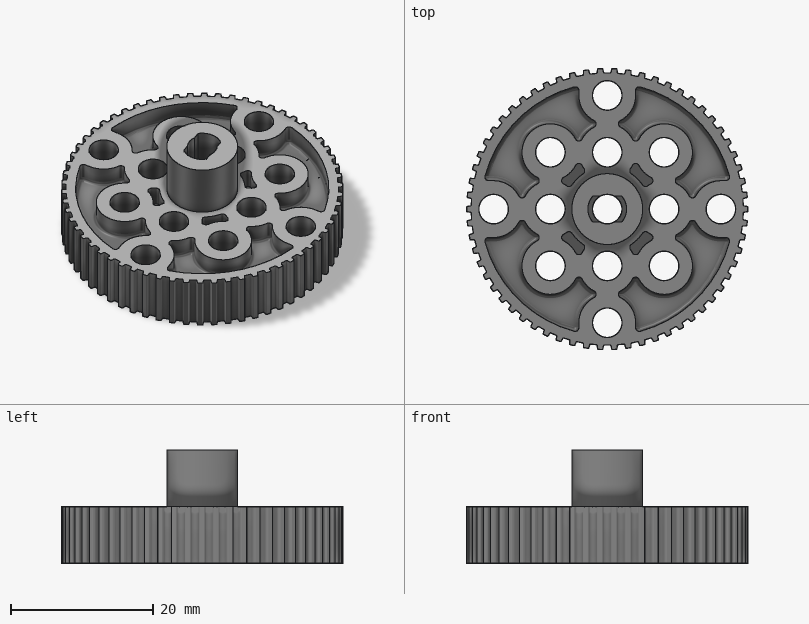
import cadquery as cq
import math

tip_radius = 19.8
tooth_count = 62
tooth_depth = 0.65
gap_width_at_tip = 1.25
gap_width_at_root = 1.0
tooth_round = 0.1
disc_height = 8.0

hub_radius = 5.0
hub_height = 8.0
keyed_bore_diameter = 5.45
keyed_bore_flats = 3.65

hole_spacing = 8.0
hole_diameter = 4.1
boss_radius = hole_spacing / 2
holes_across_radius = 2

rim_inner_radius = 17.8
pocket_depth = 3.0
floor_fillet = 0.6

slot_inner_radius = 6.0

corner_radius = 0.5

side_boss = (0, hole_spacing)
outer_boss = (0, holes_across_radius * hole_spacing)
corner_boss = (hole_spacing, hole_spacing)

cusp_reach = math.sqrt((boss_radius + corner_radius) ** 2 - boss_radius**2)


def polar(radius, angle):
    """Point at a radius and an angle in radians around the origin."""
    return (radius * math.cos(angle), radius * math.sin(angle))


def towards(centre, target, distance):
    """Point at a distance from a centre, in the direction of a target."""
    ratio = distance / math.dist(centre, target)
    return (centre[0] + ratio * (target[0] - centre[0]), centre[1] + ratio * (target[1] - centre[1]))


def swapped(point):
    """Mirror image of a point across the diagonal X = Y."""
    return (point[1], point[0])


def midpoint(start, end):
    """Point halfway between two points."""
    return ((start[0] + end[0]) / 2, (start[1] + end[1]) / 2)


def add_piece(outline, centre, start, end):
    """Extend an outline by the shorter arc around a centre, or by a line if there is no centre."""
    if centre is None:
        return outline.lineTo(*end)
    middle = towards(centre, midpoint(start, end), math.dist(centre, start))
    return outline.threePointArc(middle, end)


def diagonal_cutter(half):
    """Cutter symmetric about X = Y, reaching down from the top of the disc.

    The half outline is a list of (centre, start, end) pieces that ends on the corner boss.
    An arc around the disc axis joins the far ends of the two halves.
    """
    first = half[0][1]
    boss_start = half[-1][2]
    outline = cq.Workplane("XY", origin=(0, 0, disc_height)).moveTo(*first)
    for centre, start, end in half:
        outline = add_piece(outline, centre, start, end)

    facing = midpoint(first, swapped(first))
    outline = outline.threePointArc(towards(corner_boss, facing, boss_radius), swapped(boss_start))

    for centre, start, end in reversed(half):
        mirrored_centre = None if centre is None else swapped(centre)
        outline = add_piece(outline, mirrored_centre, swapped(end), swapped(start))
    outline = add_piece(outline, (0, 0), swapped(first), first)
    return outline.close().extrude(-pocket_depth)


def toothed_disc():
    """Disc with one tooth centred on +X."""
    pitch_angle = 2 * math.pi / tooth_count
    root_radius = tip_radius - tooth_depth
    half_tip_angle = pitch_angle / 2 - math.asin(gap_width_at_tip / 2 / tip_radius)
    half_root_angle = pitch_angle / 2 - math.asin(gap_width_at_root / 2 / root_radius)

    outline = cq.Workplane("XY").moveTo(*polar(root_radius, -half_root_angle))
    for tooth in range(tooth_count):
        angle = tooth * pitch_angle
        next_angle = angle + pitch_angle
        outline = outline.lineTo(*polar(tip_radius, angle - half_tip_angle))
        outline = outline.threePointArc(polar(tip_radius, angle), polar(tip_radius, angle + half_tip_angle))
        outline = outline.lineTo(*polar(root_radius, angle + half_root_angle))
        gap_middle = polar(root_radius, angle + pitch_angle / 2)
        outline = outline.threePointArc(gap_middle, polar(root_radius, next_angle - half_root_angle))
    return outline.close().extrude(disc_height).edges("|Z").fillet(tooth_round)


def pocket():
    """Cutter for the pocket between the +X +Y bosses and the rim."""
    outer_cusp = (cusp_reach, (side_boss[1] + outer_boss[1]) / 2)
    inner_cusp = (boss_radius, hole_spacing + cusp_reach)
    rim_corner_x = boss_radius + corner_radius
    rim_corner = (rim_corner_x, math.sqrt((rim_inner_radius - corner_radius) ** 2 - rim_corner_x**2))

    rim_end = towards((0, 0), rim_corner, rim_inner_radius)
    wall_top = (boss_radius, rim_corner[1])
    wall_bottom = (boss_radius, outer_boss[1])
    outer_boss_end = towards(outer_boss, outer_cusp, boss_radius)
    side_boss_start = towards(side_boss, outer_cusp, boss_radius)
    side_boss_end = towards(side_boss, inner_cusp, boss_radius)
    corner_boss_start = towards(corner_boss, inner_cusp, boss_radius)

    half = [
        (rim_corner, rim_end, wall_top),
        (None, wall_top, wall_bottom),
        (outer_boss, wall_bottom, outer_boss_end),
        (outer_cusp, outer_boss_end, side_boss_start),
        (side_boss, side_boss_start, side_boss_end),
        (inner_cusp, side_boss_end, corner_boss_start),
    ]
    cutter = diagonal_cutter(half)
    return cutter.faces("<Z").edges().fillet(floor_fillet)


def slot():
    """Cutter for the slot between the +X +Y bosses and the hub."""
    cusp = (boss_radius, hole_spacing - cusp_reach)

    corner_to_hub = slot_inner_radius + corner_radius
    corner_to_boss = boss_radius + corner_radius
    corner_y = (corner_to_hub**2 - corner_to_boss**2 + hole_spacing**2) / (2 * hole_spacing)
    inner_corner = (math.sqrt(corner_to_hub**2 - corner_y**2), corner_y)

    hub_arc_end = towards((0, 0), inner_corner, slot_inner_radius)
    side_boss_start = towards(side_boss, inner_corner, boss_radius)
    side_boss_end = towards(side_boss, cusp, boss_radius)
    corner_boss_start = towards(corner_boss, cusp, boss_radius)

    half = [
        (inner_corner, hub_arc_end, side_boss_start),
        (side_boss, side_boss_start, side_boss_end),
        (cusp, side_boss_end, corner_boss_start),
    ]
    return diagonal_cutter(half)


def hole_centres():
    """The 3 x 3 grid, and one more hole beyond it on each axis."""
    steps = range(-holes_across_radius, holes_across_radius + 1)
    return [
        (column * hole_spacing, row * hole_spacing)
        for column in steps
        for row in steps
        if math.hypot(column, row) <= holes_across_radius
    ]


def keyed_bore():
    """Round bore with two flats facing Y, as deep as the hub."""
    base = cq.Workplane("XY", origin=(0, 0, disc_height))
    bore = base.circle(keyed_bore_diameter / 2).extrude(hub_height)
    between_flats = base.rect(keyed_bore_diameter, keyed_bore_flats).extrude(hub_height)
    return bore.intersect(between_flats)


hub = cq.Workplane("XY", origin=(0, 0, disc_height)).circle(hub_radius).extrude(hub_height)
body = toothed_disc().union(hub)

for cutter in (pocket(), slot()):
    for quarter_turn in (0, 90, 180, 270):
        body = body.cut(cutter.rotate((0, 0, 0), (0, 0, 1), quarter_turn))

holes = (
    cq.Workplane("XY")
    .pushPoints(hole_centres())
    .circle(hole_diameter / 2)
    .extrude(disc_height + hub_height)
)

result = body.cut(keyed_bore()).cut(holes)